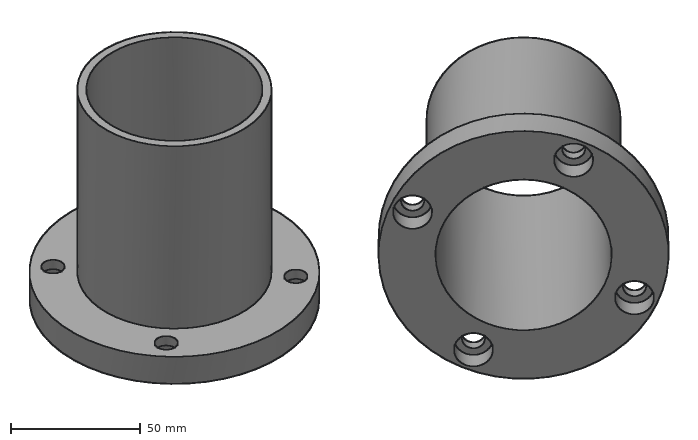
import cadquery as cq

flange_diameter = 112.0
flange_thickness = 13.0
overall_height = 100.0
tube_diameter = 75.0
bore_diameter = 68.0
bolt_circle_diameter = 94.0
bolt_hole_diameter = 9.0
counterbore_diameter = 15.0
counterbore_depth = 8.5
bolt_hole_count = 4
first_bolt_angle = 45.0


def upright_cylinder(diameter, height):
    """Cylinder on the Z axis, standing on the base plane."""
    return cq.Workplane("XY").circle(diameter / 2).extrude(height)


def bolt_circle_cylinders(diameter, height):
    """Cylinders evenly spaced on the bolt circle, standing on the base plane."""
    return (
        cq.Workplane("XY")
        .polarArray(bolt_circle_diameter / 2, first_bolt_angle, 360, bolt_hole_count)
        .circle(diameter / 2)
        .extrude(height)
    )


flange = upright_cylinder(flange_diameter, flange_thickness)
tube = upright_cylinder(tube_diameter, overall_height)
body = flange.union(tube)

bore = upright_cylinder(bore_diameter, overall_height)

bolt_holes = bolt_circle_cylinders(bolt_hole_diameter, flange_thickness)
counterbores = bolt_circle_cylinders(counterbore_diameter, counterbore_depth)

result = body.cut(bore).cut(bolt_holes).cut(counterbores)